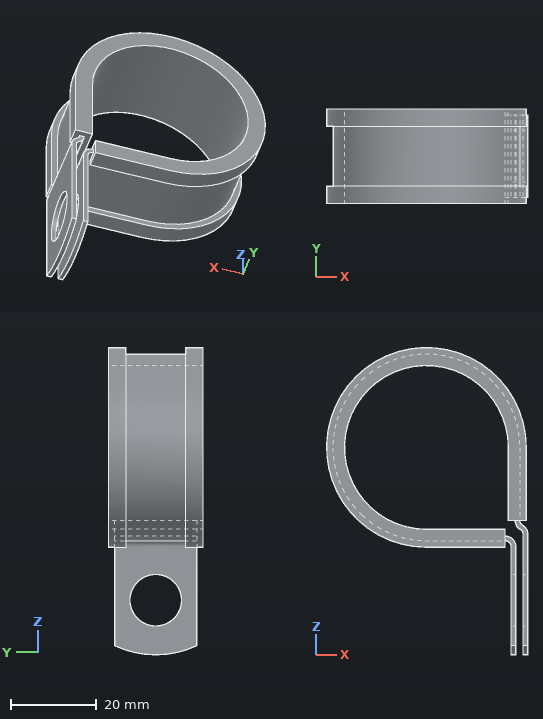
import cadquery as cq
import math

loop_radius = 23.3
cushion_thickness = 4.2
cushion_width = 22.1
inner_radius = loop_radius - cushion_thickness
upper_arm_end_z = -17.1
lower_arm_end_x = 18.35

groove_depth = 1.5
groove_width = 14.0

strap_thickness = 1.15
strap_width = 19.2
strap_radius = loop_radius - groove_depth - strap_thickness / 2
upper_tab_overhang = 0.35
upper_tab_x = loop_radius + upper_tab_overhang - strap_thickness / 2
tab_gap = 1.65
lower_tab_x = upper_tab_x - tab_gap - strap_thickness
total_height = 71.7
tab_bottom_z = loop_radius - total_height
tab_end_rise = 2.15
strap_embed = 1.4
jog_height = 3.15

hole_diameter = 12.0
hole_to_tab_bottom = 12.8


def loop_band(outside, inside, width):
    """Loop of constant thickness with a horizontal lower arm and a vertical upper arm."""
    outside_mid = outside * math.sqrt(0.5)
    inside_mid = inside * math.sqrt(0.5)
    return (
        cq.Workplane("XZ")
        .moveTo(lower_arm_end_x, -outside)
        .lineTo(0, -outside)
        .threePointArc((-outside_mid, outside_mid), (outside, 0))
        .lineTo(outside, upper_arm_end_z)
        .lineTo(inside, upper_arm_end_z)
        .lineTo(inside, 0)
        .threePointArc((-inside_mid, inside_mid), (0, -inside))
        .lineTo(lower_arm_end_x, -inside)
        .close()
        .extrude(width / 2, both=True)
    )


def make_cushion():
    floor_radius = loop_radius - groove_depth
    body = loop_band(loop_radius, inner_radius, cushion_width)
    groove = loop_band(loop_radius, floor_radius, groove_width)
    return body.cut(groove)


def bend_strap(centerline, start_plane):
    """Sweep the strap section along a centerline in the XZ plane."""
    return start_plane.rect(strap_thickness, strap_width).sweep(centerline)


def make_upper_tab():
    """Vertical strap end that jogs outward through an S-bend."""
    start_z = upper_arm_end_z + strap_embed
    jog_end_z = upper_arm_end_z - jog_height
    jog_middle = ((strap_radius + upper_tab_x) / 2, upper_arm_end_z - jog_height / 2)
    centerline = (
        cq.Workplane("XZ")
        .moveTo(strap_radius, start_z)
        .lineTo(strap_radius, upper_arm_end_z)
        .tangentArcPoint(jog_middle, relative=False)
        .tangentArcPoint((upper_tab_x, jog_end_z), relative=False)
        .lineTo(upper_tab_x, tab_bottom_z)
    )
    start_plane = cq.Workplane("XY", origin=(strap_radius, 0, start_z))
    return bend_strap(centerline, start_plane)


def make_lower_tab():
    """Horizontal strap end that turns down through a quarter bend."""
    start_x = lower_arm_end_x - strap_embed
    bend_radius = lower_tab_x - lower_arm_end_x
    centerline = (
        cq.Workplane("XZ")
        .moveTo(start_x, -strap_radius)
        .lineTo(lower_arm_end_x, -strap_radius)
        .tangentArcPoint((lower_tab_x, -strap_radius - bend_radius), relative=False)
        .lineTo(lower_tab_x, tab_bottom_z)
    )
    section_plane = cq.Plane(origin=(start_x, 0, -strap_radius), xDir=(0, 0, 1), normal=(1, 0, 0))
    start_plane = cq.Workplane(section_plane)
    return bend_strap(centerline, start_plane)


def make_tab_envelope():
    """Tab shape seen along X: straight sides, an arched lower end and the bolt hole."""
    half_width = strap_width / 2
    corner_z = tab_bottom_z + tab_end_rise
    outline = (
        cq.Workplane("YZ")
        .moveTo(-half_width, 0)
        .lineTo(-half_width, corner_z)
        .threePointArc((0, tab_bottom_z), (half_width, corner_z))
        .lineTo(half_width, 0)
        .close()
        .extrude(2 * loop_radius)
    )
    hole = (
        cq.Workplane("YZ")
        .center(0, tab_bottom_z + hole_to_tab_bottom)
        .circle(hole_diameter / 2)
        .extrude(2 * loop_radius)
    )
    return outline.cut(hole)


tabs = make_upper_tab().union(make_lower_tab()).intersect(make_tab_envelope())
result = make_cushion().union(tabs)